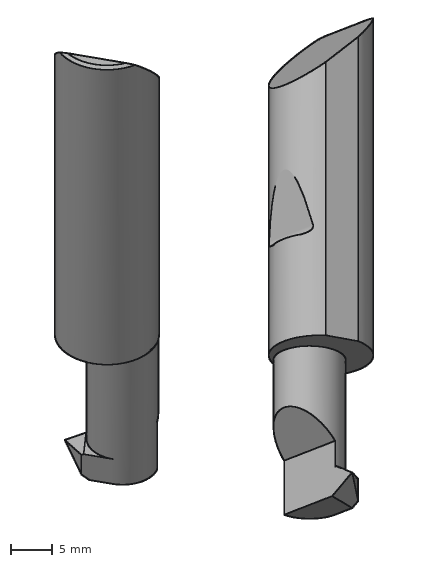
import cadquery as cq
import math

length = 63.5
shank_radius = 6.35
neck_length = 19.05

top_land_edge = -4.45
top_chamfer_width = 0.6
top_chamfer_height = 0.25

flat_end_y = 4.05

notch_bottom = 32.5
notch_top = 41.6
notch_depth = 1.4
notch_fillet = 0.95

neck_radius = 4.4
neck_x = shank_radius - neck_radius
relief_start = 7.1

tip_x = -5.35
tip_z = 2.1
tip_height = 3.75
flank_x = -2.0
tip_half_angle = 31.5
flank_setback = 0.95

clearance = 0.65


def side_prism(points):
    """Prism along X through the full shank width, from (y, z) points."""
    reach = shank_radius + clearance
    return cq.Workplane("YZ").polyline(points).close().extrude(reach, both=True)


def make_shank():
    """Round bar with a chamfered end, a 45 degree bevel, a flat and a notch."""
    shank_base = cq.Workplane("XY").workplane(offset=neck_length)
    shank = shank_base.circle(shank_radius).extrude(length - neck_length)
    shank = shank.faces(">Z").edges().chamfer(top_chamfer_height, top_chamfer_width)

    bevel_run = shank_radius + clearance - top_land_edge
    bevel = side_prism([
        (top_land_edge - clearance, length + clearance),
        (top_land_edge + bevel_run, length + clearance),
        (top_land_edge + bevel_run, length - bevel_run),
    ])

    flat_end_x = -math.sqrt(shank_radius**2 - flat_end_y**2)
    flat = (
        cq.Workplane("XY")
        .moveTo(-shank_radius, 0)
        .lineTo(flat_end_x, flat_end_y)
        .lineTo(-2 * shank_radius, flat_end_y)
        .lineTo(-2 * shank_radius, 0)
        .close()
        .extrude(length)
    )
    return shank.cut(bevel).cut(flat).cut(make_notch())


def make_notch():
    """Ramp descending toward -Z, ended by a rounded step."""
    floor_y = shank_radius - notch_depth
    slope = notch_depth / (notch_top - notch_bottom)
    notch = side_prism([
        (floor_y, notch_bottom),
        (shank_radius + clearance, notch_bottom),
        (shank_radius + clearance, notch_top + clearance / slope),
    ])
    return notch.edges("|X").edges("<Y").fillet(notch_fillet)


def make_neck():
    """Round neck, halved below a 45 degree run-out and trimmed by the lower flank."""
    neck = cq.Workplane("XY").center(neck_x, 0).circle(neck_radius).extrude(neck_length)
    run = neck_radius + clearance
    relief = side_prism([(0, -clearance), (run, -clearance), (run, relief_start + run), (0, relief_start)])
    return neck.cut(relief).cut(tapered_loft(under_flank_points))


def tapered_loft(outline):
    """Loft from outline(tip_x) on y = 0 to the set-back outline at the front of the neck."""
    return (
        cq.Workplane("XZ")
        .polyline(outline(tip_x))
        .close()
        .workplane(offset=neck_radius)
        .polyline(outline(tip_x + flank_setback))
        .close()
        .loft(ruled=True)
    )


def under_flank_points(apex_x):
    """Triangular (x, z) outline of the empty corner below the lower flank."""
    slope = math.tan(math.radians(tip_half_angle))
    return [(apex_x, tip_z), (apex_x + tip_z / slope, 0), (apex_x, 0)]


def wedge_points(apex_x):
    """Pointed (x, z) outline of the cutting tip with its apex at apex_x."""
    slope = math.tan(math.radians(tip_half_angle))
    return [
        (apex_x, tip_z),
        (apex_x + (tip_height - tip_z) / slope, tip_height),
        (neck_x, tip_height),
        (neck_x, 0),
        (apex_x + tip_z / slope, 0),
    ]


def make_tip():
    """Wedge with its rake face on y = 0 and flanks receding toward -Y."""
    wedge = tapered_loft(wedge_points)
    footprint = (
        cq.Workplane("XY")
        .polyline([(tip_x, 0), (flank_x, -neck_radius), (neck_x, -neck_radius), (neck_x, 0)])
        .close()
        .extrude(tip_height)
    )
    return wedge.intersect(footprint)


result = make_shank().union(make_neck()).union(make_tip())